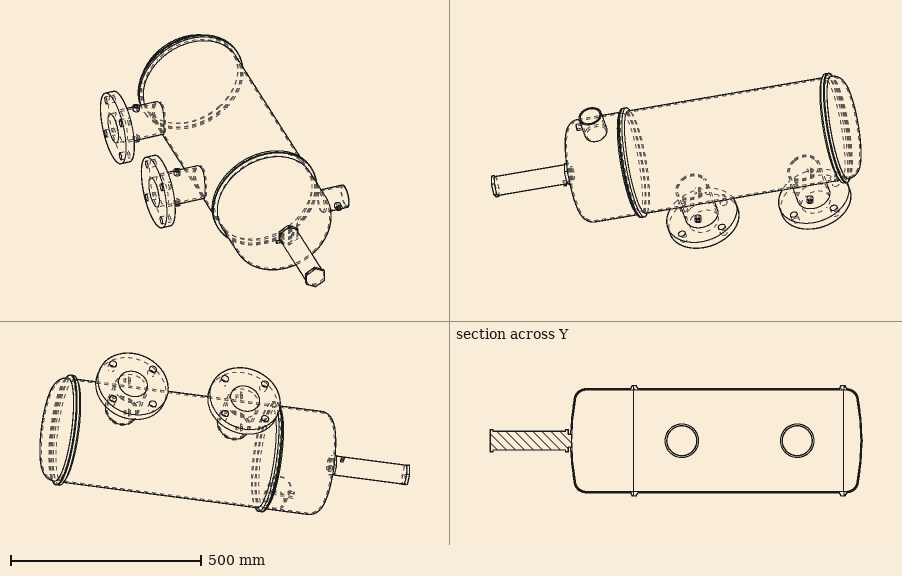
import cadquery as cq
import math

overall_length = 978.5

vessel_radius = 137.0
vessel_wall = 4.0
knuckle_radius = 31.0
crown_radius = 587.0
vessel_length = 768.0

left_joint_x = 49.0
right_joint_x = 602.0
rim_radius = 146.0
rim_bevel = 5.0
end_lip = 3.0
shell_lip = 7.0

nozzle_positions = (171.0, 475.0)
nozzle_diameter = 88.0
nozzle_bore = 78.0
nozzle_face_y = -263.0
nozzle_port_y = -199.0

flange_diameter = 191.0
flange_thickness = 23.0
bolt_circle = 153.0
bolt_hole = 19.0
bolt_count = 4

stub_x = 667.0
stub_diameter = 61.0
stub_bore = 53.0
stub_end_y = 201.0
stub_port_y = 167.0

port_diameter = 17.0
port_bore = 8.0
nozzle_port_height = 12.0
stub_port_height = 14.0

tube_diameter = 51.0
hex_thickness = 8.0
tube_start_x = 773.0
neck_diameter = 34.0
tap_x = 795.0
tap_diameter = 7.0
tap_height = 15.0

inner_radius = vessel_radius - vessel_wall
knuckle_centre_r = vessel_radius - knuckle_radius
crown_angle = math.asin(knuckle_centre_r / (crown_radius - knuckle_radius))
head_depth = crown_radius - (crown_radius - knuckle_radius) * math.cos(crown_angle)
flange_back_y = nozzle_face_y + flange_thickness


def cylinder(start, direction, diameter, length):
    """Solid round bar from a start point along a direction."""
    axis = cq.Vector(*direction)
    return cq.Workplane(cq.Solid.makeCylinder(diameter / 2, length, cq.Vector(*start), axis))


def head_point(inset, angle, on_crown):
    """Point (x, r) on the dished profile, offset inward, at an angle from the axis."""
    if on_crown:
        radius = crown_radius - inset
        centre_x, centre_r = crown_radius, 0
    else:
        radius = knuckle_radius - inset
        centre_x, centre_r = head_depth, knuckle_centre_r
    return (centre_x - radius * math.cos(angle), centre_r + radius * math.sin(angle))


def dished_section(joint_x):
    """Hollow section with its apex at the origin and its rim ending at joint_x."""
    mid_knuckle = (crown_angle + math.pi / 2) / 2
    profile = (
        cq.Workplane("XY")
        .moveTo(0, 0)
        .threePointArc(head_point(0, crown_angle / 2, True), head_point(0, crown_angle, True))
        .threePointArc(head_point(0, mid_knuckle, False), (head_depth, vessel_radius))
        .lineTo(joint_x - end_lip - rim_bevel, vessel_radius)
        .lineTo(joint_x - end_lip, rim_radius)
        .lineTo(joint_x, rim_radius)
        .lineTo(joint_x, inner_radius)
        .lineTo(head_depth, inner_radius)
        .threePointArc(
            head_point(vessel_wall, mid_knuckle, False),
            head_point(vessel_wall, crown_angle, False),
        )
        .threePointArc(head_point(vessel_wall, crown_angle / 2, True), (vessel_wall, 0))
        .close()
    )
    return profile.revolve(360, (0, 0, 0), (1, 0, 0))


def make_cavity():
    """Cylindrical space inside the vessel, between the knuckles of the two heads."""
    cavity_length = vessel_length - 2 * head_depth
    return cylinder((head_depth, 0, 0), (1, 0, 0), 2 * inner_radius, cavity_length)


def make_head():
    """Left dished head with a short straight skirt."""
    return dished_section(left_joint_x)


def make_shell():
    """Open cylinder with a rim at each end and a hole for each nozzle pipe."""
    outline = [
        (left_joint_x, inner_radius),
        (left_joint_x, rim_radius),
        (left_joint_x + shell_lip, rim_radius),
        (left_joint_x + shell_lip + rim_bevel, vessel_radius),
        (right_joint_x - shell_lip - rim_bevel, vessel_radius),
        (right_joint_x - shell_lip, rim_radius),
        (right_joint_x, rim_radius),
        (right_joint_x, inner_radius),
    ]
    shell = cq.Workplane("XY").polyline(outline).close().revolve(360, (0, 0, 0), (1, 0, 0))
    for x in nozzle_positions:
        shell = shell.cut(cylinder((x, 0, 0), (0, -1, 0), nozzle_diameter, vessel_radius))
    return shell


def make_nozzle(x):
    """Flanged pipe through the shell wall, with a port above and below."""
    nozzle = cylinder((x, 0, 0), (0, -1, 0), nozzle_diameter, -nozzle_face_y)
    nozzle = nozzle.union(
        cylinder((x, flange_back_y, 0), (0, -1, 0), flange_diameter, flange_thickness)
    )

    port_length = nozzle_diameter / 2 + nozzle_port_height
    for side in (1, -1):
        port_axis = (0, 0, side)
        bore_start = (x, nozzle_port_y, side * nozzle_diameter / 2)
        nozzle = nozzle.union(cylinder((x, nozzle_port_y, 0), port_axis, port_diameter, port_length))
        nozzle = nozzle.cut(cylinder(bore_start, port_axis, port_bore, nozzle_port_height))

    for i in range(bolt_count):
        angle = 2 * math.pi * (i + 0.5) / bolt_count
        bolt_x = x + bolt_circle / 2 * math.cos(angle)
        bolt_z = bolt_circle / 2 * math.sin(angle)
        hole_start = (bolt_x, flange_back_y, bolt_z)
        nozzle = nozzle.cut(cylinder(hole_start, (0, -1, 0), bolt_hole, flange_thickness))

    nozzle = nozzle.cut(cylinder((x, 0, 0), (0, -1, 0), nozzle_bore, -nozzle_face_y))
    return nozzle.cut(make_cavity())


def make_bonnet():
    """Right section with a dished end, an open stub with one port and a hole for the tube neck."""
    bonnet = dished_section(vessel_length - right_joint_x)
    bonnet = bonnet.mirror("YZ").translate((vessel_length, 0, 0))

    stub = cylinder((stub_x, 0, 0), (0, 1, 0), stub_diameter, stub_end_y)
    port_length = stub_diameter / 2 + stub_port_height
    stub = stub.union(cylinder((stub_x, stub_port_y, 0), (1, 0, 0), port_diameter, port_length))
    stub = stub.cut(make_cavity())

    bonnet = bonnet.union(stub)
    bonnet = bonnet.cut(cylinder((stub_x, 0, 0), (0, 1, 0), stub_bore, stub_end_y))
    bore_start = (stub_x + stub_diameter / 2, stub_port_y, 0)
    bonnet = bonnet.cut(cylinder(bore_start, (1, 0, 0), port_bore, stub_port_height))
    return bonnet.cut(make_neck())


def make_neck():
    """Round neck that fills the hole through the wall of the right head."""
    neck_start_x = vessel_length - vessel_wall
    neck_length = tube_start_x - neck_start_x
    return cylinder((neck_start_x, 0, 0), (1, 0, 0), neck_diameter, neck_length)


def make_hex_collar(start_x):
    """Hexagonal collar with flats facing +Y and -Y, as wide across them as the tube."""
    across_corners = tube_diameter / math.cos(math.pi / 6)
    collar = cq.Workplane("XY").polygon(6, across_corners).extrude(hex_thickness)
    return collar.rotate((0, 0, 0), (0, 1, 0), 90).translate((start_x, 0, 0))


def make_tube():
    """Solid tube with a neck, a hexagonal collar at each end and a small side tap."""
    tube_length = overall_length - tube_start_x
    tap_length = tube_diameter / 2 + tap_height
    tube = cylinder((tube_start_x, 0, 0), (1, 0, 0), tube_diameter, tube_length)
    tube = tube.union(make_neck())
    for collar_x in (tube_start_x, overall_length - hex_thickness):
        tube = tube.union(make_hex_collar(collar_x))
    return tube.union(cylinder((tap_x, 0, 0), (0, -1, 0), tap_diameter, tap_length))


head = make_head()
shell = make_shell()
bonnet = make_bonnet()
nozzles = [make_nozzle(x) for x in nozzle_positions]
tube = make_tube()

result = cq.Compound.makeCompound(
    [
        head.val(),
        shell.val(),
        bonnet.val(),
        *[nozzle.val() for nozzle in nozzles],
        tube.val(),
    ]
)